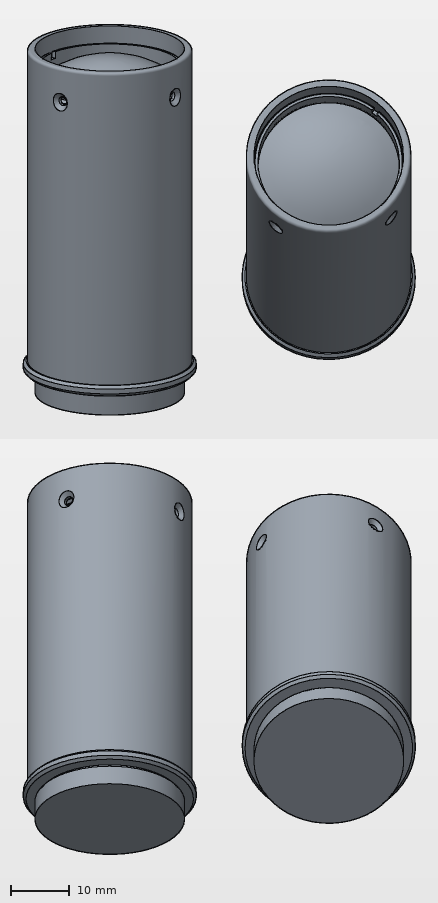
import cadquery as cq
import math

total_height = 61.3
body_diameter = 28.0
rim_fillet = 0.5

flange_diameter = 29.4
flange_bottom = 3.9
flange_top = 5.75
flange_chamfer = 0.5
spigot_diameter = 25.45
neck_diameter = 24.4
spigot_shoulder = 3.4

mouth_diameter = 25.4
ring_top = 58.3
ring_chamfer_diameter = 25.0
ring_bore_diameter = 24.0
lens_edge = 55.4
lens_rise = 4.2

slot_width = 1.1
slot_depth = 1.15

hole_height = 55.3
hole_diameter = 1.6
countersink_diameter = 3.1
hole_count = 4
groove_diameter = 24.4
groove_floor_width = 0.3

body_radius = body_diameter / 2
mouth_radius = mouth_diameter / 2
ring_bore_radius = ring_bore_diameter / 2


def make_housing():
    """Revolved outline, with the mouth stepping down to the convex lens."""
    flange_radius = flange_diameter / 2
    ring_chamfer = (mouth_diameter - ring_chamfer_diameter) / 2
    lens_radius = (ring_bore_radius**2 + lens_rise**2) / (2 * lens_rise)
    lens_center = lens_edge + lens_rise - lens_radius
    arc_mid_radius = ring_bore_radius / 2
    arc_mid_height = lens_center + math.sqrt(lens_radius**2 - arc_mid_radius**2)
    return (
        cq.Workplane("XZ")
        .moveTo(0, 0)
        .lineTo(spigot_diameter / 2, 0)
        .lineTo(spigot_diameter / 2, spigot_shoulder)
        .lineTo(neck_diameter / 2, spigot_shoulder)
        .lineTo(neck_diameter / 2, flange_bottom)
        .lineTo(flange_radius - flange_chamfer, flange_bottom)
        .lineTo(flange_radius, flange_bottom + flange_chamfer)
        .lineTo(flange_radius, flange_top - flange_chamfer)
        .lineTo(flange_radius - flange_chamfer, flange_top)
        .lineTo(body_radius, flange_top)
        .lineTo(body_radius, total_height - rim_fillet)
        .radiusArc((body_radius - rim_fillet, total_height), -rim_fillet)
        .lineTo(mouth_radius, total_height)
        .lineTo(mouth_radius, ring_top - ring_chamfer)
        .lineTo(ring_chamfer_diameter / 2, ring_top)
        .lineTo(ring_bore_radius, ring_top)
        .lineTo(ring_bore_radius, lens_edge)
        .threePointArc((arc_mid_radius, arc_mid_height), (0, lens_edge + lens_rise))
        .close()
        .revolve(360, (0, 0, 0), (0, 1, 0))
    )


def make_spanner_slots():
    """Two opposite notches along X, kept within the wall of the ring."""
    ring_wall = (
        cq.Workplane("XY")
        .workplane(offset=ring_top - slot_depth)
        .circle(mouth_radius)
        .circle(ring_bore_radius)
        .extrude(slot_depth)
    )
    bar = (
        cq.Workplane("XY")
        .workplane(offset=ring_top - slot_depth)
        .rect(mouth_diameter, slot_width)
        .extrude(slot_depth)
    )
    return ring_wall.intersect(bar)


def make_groove():
    """Annular 45 degree groove with a flat floor, hidden behind the barrel wall."""
    floor_radius = groove_diameter / 2
    floor_half = groove_floor_width / 2
    mouth_half = floor_half + mouth_radius - floor_radius
    return (
        cq.Workplane("XZ")
        .moveTo(floor_radius, hole_height - floor_half)
        .lineTo(mouth_radius, hole_height - mouth_half)
        .lineTo(mouth_radius, hole_height + mouth_half)
        .lineTo(floor_radius, hole_height + floor_half)
        .close()
        .revolve(360, (0, 0, 0), (0, 1, 0))
    )


def make_screw_hole(angle):
    """Countersunk hole through the barrel wall, pointing along the given angle."""
    hole_radius = hole_diameter / 2
    countersink_radius = countersink_diameter / 2
    countersink_depth = countersink_radius - hole_radius
    inner_end = math.sqrt(mouth_radius**2 - hole_radius**2)
    return (
        cq.Workplane("XY")
        .moveTo(inner_end, 0)
        .lineTo(inner_end, hole_radius)
        .lineTo(body_radius - countersink_depth, hole_radius)
        .lineTo(body_radius, countersink_radius)
        .lineTo(body_radius, 0)
        .close()
        .revolve(360, (0, 0, 0), (1, 0, 0))
        .translate((0, 0, hole_height))
        .rotate((0, 0, 0), (0, 0, 1), angle)
    )


result = make_housing().cut(make_spanner_slots()).cut(make_groove())
for index in range(hole_count):
    result = result.cut(make_screw_hole(index * 360 / hole_count))